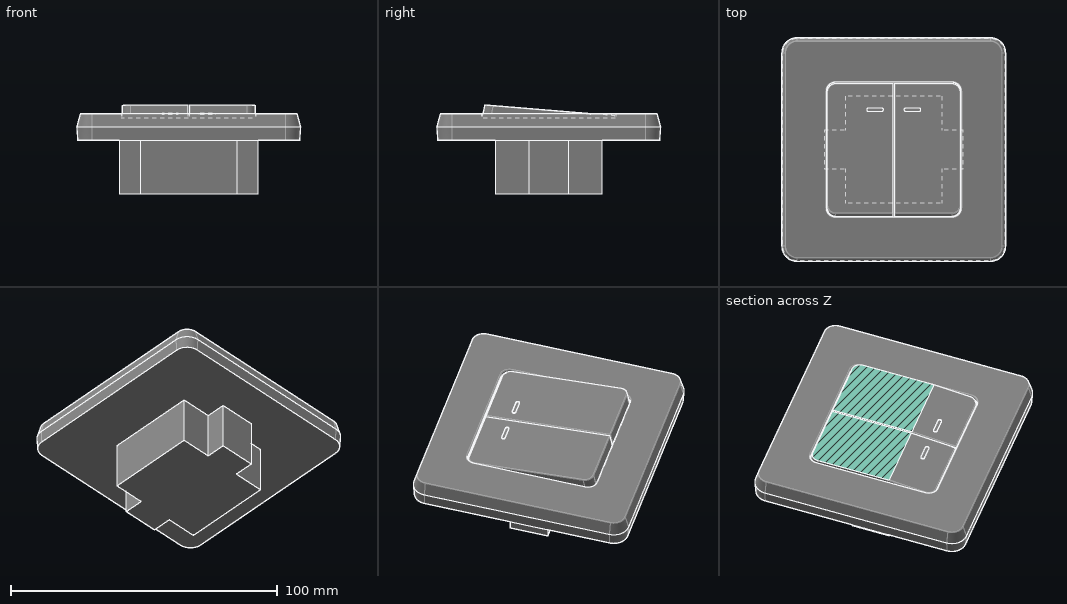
import cadquery as cq
import math

frame_width = 84.0
frame_corner_radius = 5.8
frame_height = 10.0
frame_waist_height = frame_height / 2
lower_taper_angle = 4.0
upper_taper_angle = 15.0
frame_edge_fillet = 0.1

window_width = 50.6
window_corner_radius = 3.5
window_depth = 1.6
window_rim_fillet = 0.2
window_floor_z = frame_height - window_depth

pad_width = 50.0
pad_length = 48.9
pad_thickness = 10.0
pad_corner_radius = 3.2
pad_end_slope_angle = 7.0
pad_tilt_angle = 4.7
pad_centre_y = 0.35
pad_edge_fillet = 0.2
pad_top_z = 13.33
middle_gap = 0.4

slot_length = 6.2
slot_width = 1.4
slot_depth = 0.3
slot_x = 7.0
slot_y = 14.65

box_depth = 20.2
box_long_x = 52.0
box_short_x = 36.0
box_long_y = 40.0
box_short_y = 14.75


def rounded_square(plane_z, width, radius):
    sketch = cq.Sketch().rect(width, width).vertices().fillet(radius)
    return cq.Workplane("XY", origin=(0, 0, plane_z)).placeSketch(sketch)


def make_frame():
    waist = rounded_square(frame_waist_height, frame_width, frame_corner_radius)
    upper = waist.extrude(frame_height - frame_waist_height, taper=upper_taper_angle)
    upper = upper.faces(">Z").edges().fillet(frame_edge_fillet)
    lower = waist.extrude(-frame_waist_height, taper=lower_taper_angle)
    window = rounded_square(window_floor_z, window_width, window_corner_radius).extrude(window_depth)
    frame = upper.union(lower).cut(window)
    rim_reach = window_width / 2 + window_rim_fillet
    rim_zone = cq.selectors.BoxSelector(
        (-rim_reach, -rim_reach, frame_height - window_rim_fillet),
        (rim_reach, rim_reach, frame_height + window_rim_fillet),
    )
    return frame.edges(rim_zone).fillet(window_rim_fillet)


def make_level_pad():
    """Both rockers before tilting, with their top face on z = 0."""
    half_top = pad_length / 2
    half_bottom = half_top + pad_thickness * math.tan(math.radians(pad_end_slope_angle))
    pad = (
        cq.Workplane("YZ")
        .polyline(
            [
                (-half_top, 0),
                (half_top, 0),
                (half_bottom, -pad_thickness),
                (-half_bottom, -pad_thickness),
            ]
        )
        .close()
        .extrude(pad_width / 2, both=True)
    )
    pad = pad.edges("not(#Z or |X)").fillet(pad_corner_radius)
    gap = cq.Workplane("XY").box(middle_gap, 2 * pad_length, 2 * pad_thickness)
    pad = pad.cut(gap)
    gap_zone = cq.selectors.BoxSelector(
        (-middle_gap, -pad_length, -pad_thickness),
        (middle_gap, pad_length, 0),
    )
    gap_corners = pad.edges(gap_zone).edges("not(|Y)")
    pad = gap_corners.fillet(pad_edge_fillet)
    pad = pad.faces(">Z").edges().fillet(pad_edge_fillet)
    slots = (
        cq.Workplane("XY", origin=(0, slot_y, 0))
        .pushPoints([(-slot_x, 0), (slot_x, 0)])
        .slot2D(slot_length, slot_width)
        .extrude(-slot_depth)
    )
    return pad.cut(slots)


def make_rockers():
    """Tilt the pad so its -Y end is raised, then cut it flat at the window floor."""
    rise = pad_length / 2 * math.sin(math.radians(pad_tilt_angle))
    pad = make_level_pad().rotate((0, 0, 0), (1, 0, 0), -pad_tilt_angle)
    pad = pad.translate((0, pad_centre_y, pad_top_z - rise))
    above_floor = (
        cq.Workplane("XY", origin=(0, 0, window_floor_z))
        .rect(frame_width, frame_width)
        .extrude(pad_thickness)
    )
    return pad.intersect(above_floor)


def make_wall_box():
    base = cq.Workplane("XY")
    wide = base.rect(box_long_x, box_short_y).extrude(-box_depth)
    tall = base.rect(box_short_x, box_long_y).extrude(-box_depth)
    return wide.union(tall)


result = make_frame().union(make_rockers()).union(make_wall_box())